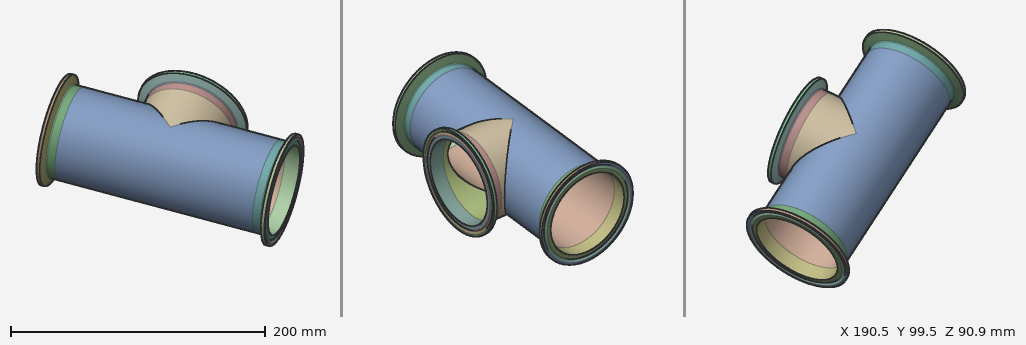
import cadquery as cq
import math

run_length = 190.5
overall_depth = 99.5
tube_diameter = 76.2
bore_diameter = 73.0

flange_diameter = 90.9
ferrule_length = 12.8
rim_thickness = 2.9
cone_angle = 20.0
neck_fillet = 1.0

groove_middle_radius = 41.7
groove_radius = 1.3
groove_lip_radius = 0.5

tube_radius = tube_diameter / 2
bore_radius = bore_diameter / 2
flange_radius = flange_diameter / 2
branch_reach = overall_depth - flange_radius

cone_slope = math.tan(math.radians(cone_angle))
cone_end = rim_thickness + (flange_radius - tube_radius) * cone_slope

fillet_turn = math.radians(90 - cone_angle)
fillet_setback = neck_fillet * math.tan(fillet_turn / 2)
fillet_start_radius = tube_radius + fillet_setback * math.cos(math.radians(cone_angle))
fillet_start_depth = cone_end - fillet_setback * math.sin(math.radians(cone_angle))
fillet_end_depth = cone_end + fillet_setback
fillet_middle_radius = tube_radius + neck_fillet * (1 - math.cos(fillet_turn / 2))
fillet_middle_depth = fillet_end_depth - neck_fillet * math.sin(fillet_turn / 2)

lip_offset = math.sqrt((groove_radius + groove_lip_radius) ** 2 - groove_lip_radius**2)
lip_angle = math.asin(groove_lip_radius / (groove_radius + groove_lip_radius))
channel_half_width = groove_radius * math.cos(lip_angle)
channel_start_depth = groove_radius * math.sin(lip_angle)
lip_half_turn = (math.pi / 2 - lip_angle) / 2
lip_middle_offset = lip_offset - groove_lip_radius * math.sin(lip_half_turn)
lip_middle_depth = groove_lip_radius * (1 - math.cos(lip_half_turn))


def ferrule():
    """Bored clamp ferrule on the Y axis, end face at y = 0, neck toward +Y."""
    middle = groove_middle_radius
    return (
        cq.Workplane("XY")
        .moveTo(bore_radius, 0)
        .lineTo(middle - lip_offset, 0)
        .threePointArc(
            (middle - lip_middle_offset, lip_middle_depth),
            (middle - channel_half_width, channel_start_depth),
        )
        .threePointArc((middle, groove_radius), (middle + channel_half_width, channel_start_depth))
        .threePointArc(
            (middle + lip_middle_offset, lip_middle_depth),
            (middle + lip_offset, 0),
        )
        .lineTo(flange_radius, 0)
        .lineTo(flange_radius, rim_thickness)
        .lineTo(fillet_start_radius, fillet_start_depth)
        .threePointArc((fillet_middle_radius, fillet_middle_depth), (tube_radius, fillet_end_depth))
        .lineTo(tube_radius, ferrule_length)
        .lineTo(bore_radius, ferrule_length)
        .close()
        .revolve(360, (0, 0, 0), (0, 1, 0))
    )


def tee_body(radius):
    """Solid tee of equal run and branch cylinders between the ferrules."""
    run_span = run_length - 2 * ferrule_length
    run = cq.Workplane("YZ").circle(radius).extrude(run_span / 2, both=True)
    branch = cq.Workplane("XZ").circle(radius).extrude(ferrule_length - branch_reach)
    return run.union(branch)


tee = tee_body(tube_radius).cut(tee_body(bore_radius))

origin = (0, 0, 0)
z_axis = (0, 0, 1)
left_end = ferrule().rotate(origin, z_axis, -90).translate((-run_length / 2, 0, 0))
right_end = ferrule().rotate(origin, z_axis, 90).translate((run_length / 2, 0, 0))
branch_end = ferrule().rotate(origin, z_axis, 180).translate((0, branch_reach, 0))

result = tee.union(left_end).union(right_end).union(branch_end)